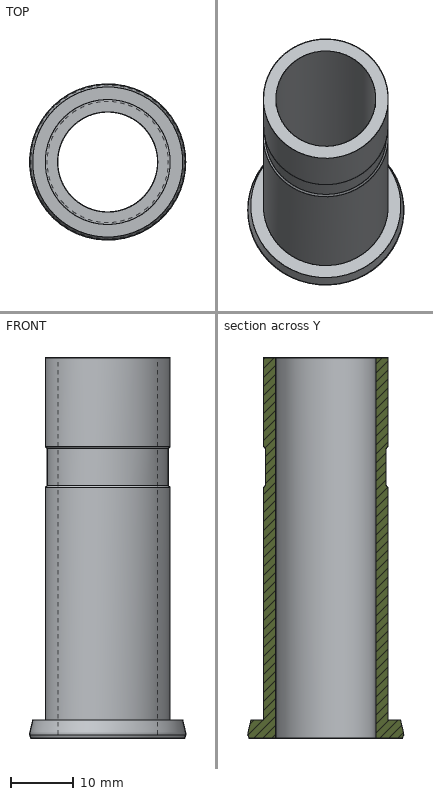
import cadquery as cq

length = 61.0
tube_diameter = 20.0
bore_diameter = 16.0

groove_diameter = 19.4
groove_bottom = 40.2
groove_top = 46.7
groove_bevel = (tube_diameter - groove_diameter) / 2

flange_diameter = 25.0
flange_top_diameter = 24.05
flange_bottom_diameter = 24.65
flange_height = 3.0
band_bottom = 0.55
band_top = 0.9


def tube():
    """Plain outer cylinder standing on the XY plane."""
    return cq.Workplane("XY").circle(tube_diameter / 2).extrude(length)


def flange():
    """Solid base flange revolved about the Z axis."""
    return (
        cq.Workplane("XZ")
        .lineTo(flange_bottom_diameter / 2, 0)
        .lineTo(flange_diameter / 2, band_bottom)
        .lineTo(flange_diameter / 2, band_top)
        .lineTo(flange_top_diameter / 2, flange_height)
        .lineTo(0, flange_height)
        .close()
        .revolve(360, (0, 0, 0), (0, 1, 0))
    )


def groove():
    """Ring of material removed from the tube to form the groove."""
    return (
        cq.Workplane("XZ")
        .moveTo(tube_diameter / 2, groove_bottom)
        .lineTo(groove_diameter / 2, groove_bottom + groove_bevel)
        .lineTo(groove_diameter / 2, groove_top - groove_bevel)
        .lineTo(tube_diameter / 2, groove_top)
        .close()
        .revolve(360, (0, 0, 0), (0, 1, 0))
    )


def bore():
    """Through hole along the full length."""
    return cq.Workplane("XY").circle(bore_diameter / 2).extrude(length)


result = tube().union(flange()).cut(groove()).cut(bore())